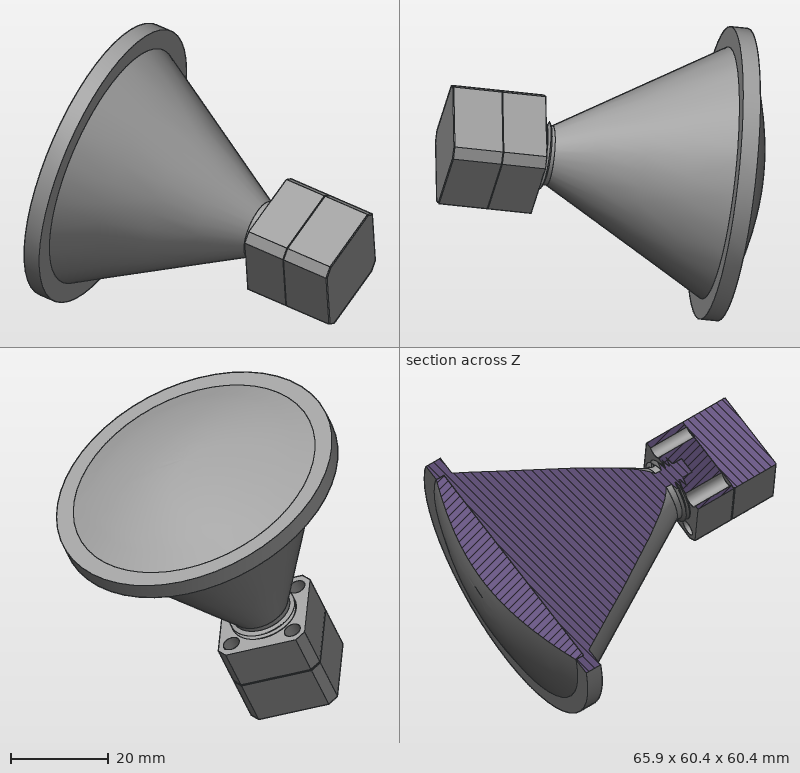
import cadquery as cq
import math


lens_radius = 26.5
lens_height = 5.8
lens_apex_curvature = 53.0
lens_seat_depth = 2.0
dome_points = 8

flange_radius = 30.2
flange_thickness = 3.6
cone_base_radius = 26.0
neck_radius = 6.15
cone_end = 38.2
spigot_depth = 4.0

thread_radius = 7.05
thread_pitch = 1.0
thread_base_width = 0.96 * thread_pitch
thread_turns = 3.0
thread_lead_out = 1.55
thread_start_angle = 46.0
thread_root_overlap = 0.1

housing_width = 19.0
housing_corner = 1.8
housing_tilt = 4.5
overall_length = 65.92
housing_front = 40.7
front_housing_length = 9.0
rear_edge_chamfer = 0.2
screw_hole_diameter = 3.5
screw_hole_spacing_y = 13.4
screw_hole_spacing_z = 12.75

housing_seam = housing_front + front_housing_length
dome_flare = (lens_radius**2 - 2 * lens_apex_curvature * lens_height) / lens_height**2
rear_housing_length = overall_length - lens_height - housing_seam


def dome_radius(depth):
    """Radius of the hyperbolic dome at a depth behind its tip."""
    return math.sqrt(2 * lens_apex_curvature * depth + dome_flare * depth**2)


def revolve_about_x(sketch):
    return sketch.revolve(360, (0, 0, 0), (1, 0, 0))


def make_lens():
    depths = [lens_height * (step / dome_points) ** 2 for step in range(1, dome_points + 1)]
    dome = [(depth - lens_height, dome_radius(depth)) for depth in depths]
    tip_direction = (0, 1)
    rim_direction = (lens_radius, lens_apex_curvature + dome_flare * lens_height)
    profile = (
        cq.Workplane("XY")
        .moveTo(-lens_height, 0)
        .spline(dome, tangents=[tip_direction, rim_direction], includeCurrent=True)
        .lineTo(lens_seat_depth, lens_radius)
        .lineTo(lens_seat_depth, 0)
        .close()
    )
    return revolve_about_x(profile)


def make_thread():
    root_radius = neck_radius - thread_root_overlap
    length = thread_turns * thread_pitch
    path = cq.Wire.makeHelix(thread_pitch, length, root_radius, lefthand=True)
    ridge = (
        cq.Workplane("XZ")
        .moveTo(root_radius, -thread_base_width / 2)
        .lineTo(thread_radius, 0)
        .lineTo(root_radius, thread_base_width / 2)
        .close()
        .sweep(cq.Workplane(path), isFrenet=True)
    )
    return (
        ridge.rotate((0, 0, 0), (0, 1, 0), 90)
        .rotate((0, 0, 0), (1, 0, 0), 90 + thread_start_angle)
        .translate((housing_front - thread_lead_out, 0, 0))
    )


def make_horn(lens):
    profile = (
        cq.Workplane("XY")
        .lineTo(0, flange_radius)
        .lineTo(flange_thickness, flange_radius)
        .lineTo(flange_thickness, cone_base_radius)
        .lineTo(cone_end, neck_radius)
        .lineTo(housing_front + spigot_depth, neck_radius)
        .lineTo(housing_front + spigot_depth, 0)
        .close()
    )
    return revolve_about_x(profile).union(make_thread()).cut(lens)


def housing_block(start, length):
    """Square block with chamfered long edges, upright on the axis."""
    return (
        cq.Workplane("YZ", origin=(start, 0, 0))
        .rect(housing_width, housing_width)
        .extrude(length)
        .edges("|X")
        .chamfer(housing_corner)
    )


def tilt(body):
    return body.rotate((0, 0, 0), (1, 0, 0), housing_tilt)


def make_front_housing(horn):
    screw_holes = (
        cq.Workplane("YZ", origin=(housing_front, 0, 0))
        .rect(screw_hole_spacing_y, screw_hole_spacing_z, forConstruction=True)
        .vertices()
        .circle(screw_hole_diameter / 2)
        .extrude(front_housing_length)
    )
    block = housing_block(housing_front, front_housing_length).cut(screw_holes)
    return tilt(block).cut(horn)


def make_rear_housing():
    block = housing_block(housing_seam, rear_housing_length)
    return tilt(block.faces("<X or >X").edges().chamfer(rear_edge_chamfer))


lens = make_lens()
horn = make_horn(lens)
front_housing = make_front_housing(horn)
rear_housing = make_rear_housing()

result = cq.Compound.makeCompound(
    [body.solids().val() for body in (lens, horn, front_housing, rear_housing)]
)